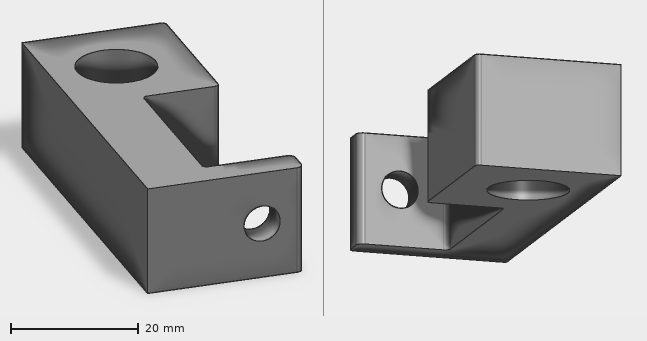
import cadquery as cq

length = 60.0
depth = 26.0
height = 18.0

block_length = 26.0
block_depth = 23.9
web_depth = 11.05
arm_thickness = 5.0

block_corner_radius = 0.8
inner_corner_radius = 0.8
arm_tip_radius = 1.1

bore_diameter = 13.0
bore_x = 13.5
bore_y = web_depth

arm_hole_diameter = 6.0
arm_hole_y = 19.1
arm_hole_z = 9.25

arm_x = length - arm_thickness


def round_corners(body, corners, radius):
    """Round the upright edges that stand at the given (x, y) corners."""
    for x, y in corners:
        edge = cq.selectors.NearestToPointSelector((x, y, height / 2))
        body = body.edges("|Z").edges(edge).fillet(radius)
    return body


outline = [
    (0, 0),
    (length, 0),
    (length, depth),
    (arm_x, depth),
    (arm_x, web_depth),
    (block_length, web_depth),
    (block_length, block_depth),
    (0, block_depth),
]
body = cq.Workplane("XY").polyline(outline).close().extrude(height)

body = round_corners(body, [(0, block_depth), (block_length, block_depth)], block_corner_radius)
body = round_corners(body, [(block_length, web_depth), (arm_x, web_depth)], inner_corner_radius)
body = round_corners(body, [(arm_x, depth), (length, depth)], arm_tip_radius)

bore = cq.Workplane("XY").center(bore_x, bore_y).circle(bore_diameter / 2).extrude(height)

arm_hole = (
    cq.Workplane("YZ", origin=(arm_x, arm_hole_y, arm_hole_z))
    .circle(arm_hole_diameter / 2)
    .extrude(arm_thickness)
)

result = body.cut(bore).cut(arm_hole)